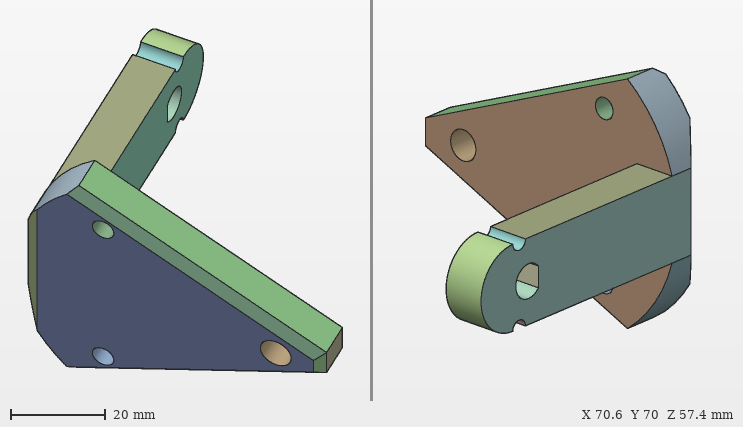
import cadquery as cq
import math

length = 70.6
depth = 70.0
thickness = 10.0
arm_width = 20.0
arm_radius = arm_width / 2

plate_half_height = 28.7
corner_x = 12.8
tip_half_height = 3.2
edge_chamfer = 2.1
heel_chamfer = 4.0

mount_hole_diameter = 5.0
mount_hole_x = 19.4
mount_hole_spacing = 40.0
tip_hole_diameter = 7.2
tip_hole_x = 59.75

notch_radius = 2.0
arm_end_y = depth - arm_radius
notch_y = arm_end_y - notch_radius
d_hole_diameter = 8.0
d_hole_y = 55.1
d_hole_flat_offset = 3.1


def make_plate():
    """Fan plate with a flat heel as wide as the arm and chamfered front edges."""
    arc_center_x = (corner_x**2 + plate_half_height**2 - arm_radius**2) / (2 * corner_x)
    arc_radius = math.hypot(arc_center_x, arm_radius)
    mid_x = corner_x / 2
    mid_z = math.sqrt(arc_radius**2 - (arc_center_x - mid_x) ** 2)

    plate = (
        cq.Workplane("XZ")
        .moveTo(0, -arm_radius)
        .lineTo(0, arm_radius)
        .threePointArc((mid_x, mid_z), (corner_x, plate_half_height))
        .lineTo(length, tip_half_height)
        .lineTo(length, -tip_half_height)
        .lineTo(corner_x, -plate_half_height)
        .threePointArc((mid_x, -mid_z), (0, -arm_radius))
        .close()
        .extrude(-thickness)
    )
    plate = plate.faces("<Y").edges("%LINE").edges(cq.selectors.BoxSelector(
        (corner_x, -thickness, -plate_half_height),
        (length + thickness, thickness, plate_half_height),
    )).chamfer(edge_chamfer)

    heel_cut = (
        cq.Workplane("XY")
        .polyline([(0, 0), (heel_chamfer, 0), (0, heel_chamfer)])
        .close()
        .extrude(plate_half_height, both=True)
    )
    return plate.cut(heel_cut)


def plate_holes():
    """Two mounting holes and one larger hole near the narrow tip."""
    half_spacing = mount_hole_spacing / 2
    mounts = (
        cq.Workplane("XZ")
        .pushPoints([(mount_hole_x, -half_spacing), (mount_hole_x, half_spacing)])
        .circle(mount_hole_diameter / 2)
        .extrude(-thickness)
    )
    tip = cq.Workplane("XZ").center(tip_hole_x, 0).circle(tip_hole_diameter / 2).extrude(-thickness)
    return mounts.union(tip)


def make_arm():
    """Straight arm with a round end, starting behind the heel chamfer."""
    return (
        cq.Workplane("YZ")
        .moveTo(heel_chamfer, -arm_radius)
        .lineTo(arm_end_y, -arm_radius)
        .threePointArc((depth, 0), (arm_end_y, arm_radius))
        .lineTo(heel_chamfer, arm_radius)
        .close()
        .extrude(thickness)
    )


def arm_notches():
    """Half-round notches in both edges of the arm, just before its round end."""
    return (
        cq.Workplane("YZ")
        .pushPoints([(notch_y, -arm_radius), (notch_y, arm_radius)])
        .circle(notch_radius)
        .extrude(thickness)
    )


def d_hole():
    """D-shaped through hole with its flat facing the plate."""
    radius = d_hole_diameter / 2
    flat_y = d_hole_y - d_hole_flat_offset
    flat_half = math.sqrt(radius**2 - d_hole_flat_offset**2)
    return (
        cq.Workplane("YZ")
        .moveTo(flat_y, -flat_half)
        .threePointArc((d_hole_y + radius, 0), (flat_y, flat_half))
        .close()
        .extrude(thickness)
    )


result = make_plate().union(make_arm()).cut(plate_holes()).cut(arm_notches()).cut(d_hole())